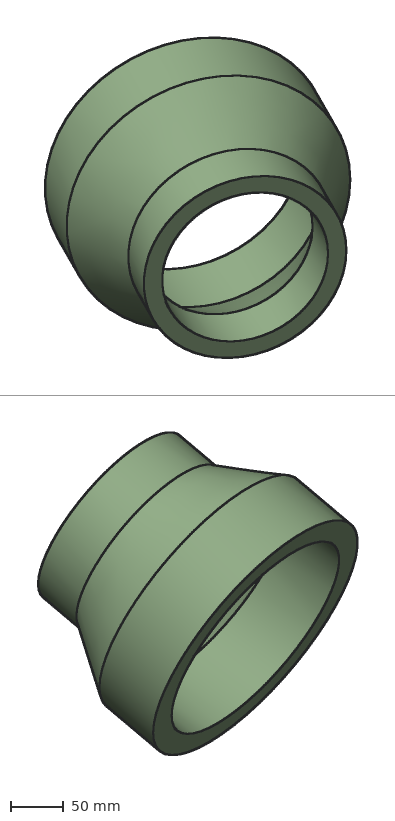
import cadquery as cq

large_outer_diameter = 280.0
large_bore_diameter = 229.2
small_outer_diameter = 200.0
small_bore_diameter = 163.6

large_end_length = 70.0
cone_length = 68.0
small_end_length = 50.0


def stepped_cone(large_diameter, small_diameter):
    """Solid of revolution: large cylinder, cone, then small cylinder along +X."""
    large_radius = large_diameter / 2
    small_radius = small_diameter / 2
    cone_end = large_end_length + cone_length
    total_length = cone_end + small_end_length
    return (
        cq.Workplane("XY")
        .moveTo(0, 0)
        .lineTo(0, large_radius)
        .lineTo(large_end_length, large_radius)
        .lineTo(cone_end, small_radius)
        .lineTo(total_length, small_radius)
        .lineTo(total_length, 0)
        .close()
        .revolve(360, (0, 0, 0), (1, 0, 0))
    )


outer_body = stepped_cone(large_outer_diameter, small_outer_diameter)

bore = stepped_cone(large_bore_diameter, small_bore_diameter)

result = outer_body.cut(bore)